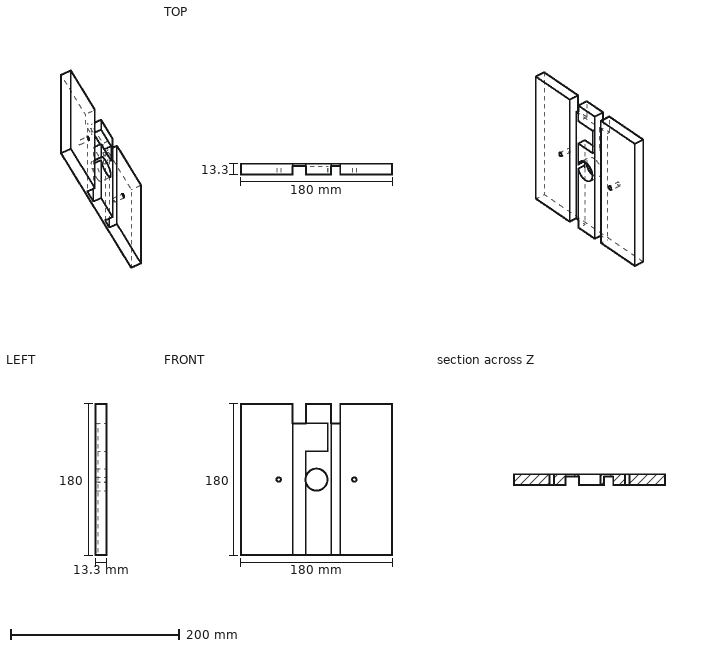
import cadquery as cq

side = 180.0
thickness = 13.3
web_thickness = 3.0

outer_slab_width = 61.7
rib_left = 77.4
rib_right = 107.3

web_top_gap = 23.0

pocket_bottom_depth = 56.0
pocket_right = 103.3

centre_hole_diameter = 26.0
small_hole_diameter = 5.0
small_hole_spacing = 90.0

web_height = side - web_top_gap


def block(x_start, x_end, z_start, z_end, depth):
    """Block standing forward (-Y) from the back plane at Y = 0."""
    size = (x_end - x_start, depth, z_end - z_start)
    return cq.Workplane("XY").box(*size, centered=False).translate((x_start, -depth, z_start))


def through_hole(x, diameter):
    """Cylinder along Y through the full plate at mid height."""
    return (
        cq.Workplane("XZ", origin=(x, 0, side / 2))
        .circle(diameter / 2)
        .extrude(thickness)
    )


web = block(0, side, 0, web_height, web_thickness)
left_slab = block(0, outer_slab_width, 0, side, thickness)
right_slab = block(side - outer_slab_width, side, 0, side, thickness)
rib = block(rib_left, rib_right, 0, side, thickness)
plate = web.union(left_slab).union(right_slab).union(rib)

pocket = block(
    rib_left, pocket_right, side - pocket_bottom_depth, web_height, thickness - web_thickness
).translate((0, -web_thickness, 0))
plate = plate.cut(pocket)

plate = plate.cut(through_hole(side / 2, centre_hole_diameter))
for direction in (-1, 1):
    small_hole_x = side / 2 + direction * small_hole_spacing / 2
    plate = plate.cut(through_hole(small_hole_x, small_hole_diameter))

result = plate